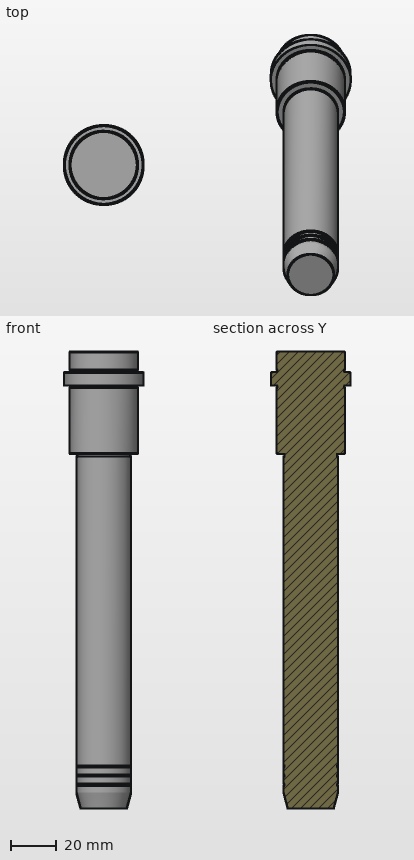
import cadquery as cq
import math

total_length = 200.0
shaft_radius = 12.0
head_radius = 15.0
flange_radius = 17.5

head_bottom = 155.0
flange_bottom = 185.0
flange_top = 191.0
flange_chamfer = 0.5
head_chamfer = 0.5

neck_width = 1.0
neck_depth = 0.3
relief_width = 1.0
relief_depth = 0.5

oil_groove_count = 3
oil_groove_pitch = 4.0
first_oil_groove_height = 10.5
oil_groove_width = 1.0
oil_groove_depth = 0.5

nose_height = 7.0
nose_taper_angle = 15.0
nose_end_radius = shaft_radius - nose_height * math.tan(math.radians(nose_taper_angle))
nose_chamfer = 0.2


def cylinder(radius, bottom, top):
    return cq.Workplane("XY").workplane(offset=bottom).circle(radius).extrude(top - bottom)


def revolved(points):
    """Solid of revolution about Z from (radius, height) points."""
    return cq.Workplane("XZ").polyline(points).close().revolve(360, (0, 0), (0, 1))


def v_groove(surface_radius, middle, width, depth):
    """Cutter for a V-shaped groove around a cylinder."""
    return revolved([
        (surface_radius, middle - width / 2),
        (surface_radius, middle + width / 2),
        (surface_radius - depth, middle),
    ])


def make_nose():
    nose = revolved([
        (0, 0),
        (nose_end_radius, 0),
        (shaft_radius, nose_height),
        (0, nose_height),
    ])
    return nose.faces("<Z").chamfer(nose_chamfer)


def make_shaft():
    neck_bottom = head_bottom - neck_width
    shaft = make_nose().union(cylinder(shaft_radius, nose_height, neck_bottom))
    for index in range(oil_groove_count):
        middle = first_oil_groove_height + index * oil_groove_pitch
        shaft = shaft.cut(v_groove(shaft_radius, middle, oil_groove_width, oil_groove_depth))
    return shaft.union(cylinder(shaft_radius - neck_depth, neck_bottom, head_bottom))


def make_head():
    head = cylinder(head_radius, head_bottom, total_length)
    head = head.faces("<Z or >Z").chamfer(head_chamfer)
    for middle in (flange_bottom - relief_width / 2, flange_top + relief_width / 2):
        head = head.cut(v_groove(head_radius, middle, relief_width, relief_depth))
    flange = cylinder(flange_radius, flange_bottom, flange_top).faces(">Z").chamfer(flange_chamfer)
    return head.union(flange)


result = make_shaft().union(make_head())